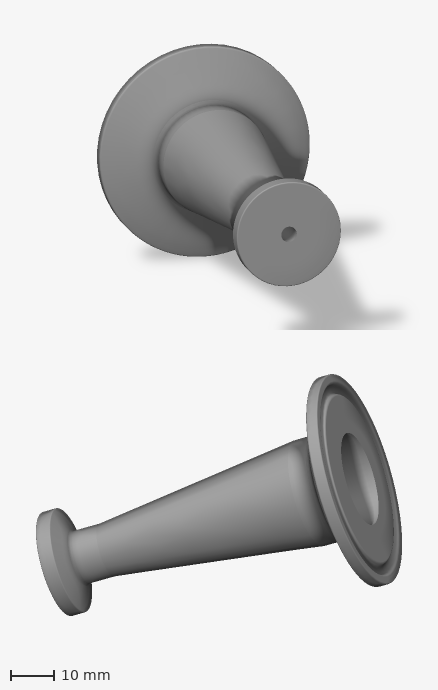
import cadquery as cq
import math


large_tube_diameter = 25.4
large_bore_diameter = 22.1
small_tube_diameter = 12.7
small_bore_diameter = 9.4

large_flange_diameter = 50.39
small_flange_diameter = 24.99
large_rim_thickness = 2.79
small_rim_thickness = 3.6
flange_back_slope = math.tan(math.radians(20))

overall_length = 76.2
ferrule_length = 12.7
cone_start = ferrule_length
cone_end = overall_length - ferrule_length

sleeve_diameter = 12.7
sleeve_inlet_diameter = 9.4
sleeve_outlet_diameter = 3.7
bore_taper = (large_bore_diameter - small_bore_diameter) / (cone_end - cone_start)
sleeve_start = cone_start + (large_bore_diameter - sleeve_diameter) / bore_taper

large_front_fillet = 0.3
large_rear_fillet = 0.5
large_neck_fillet = 1.3
small_front_fillet = 0.3
small_rear_fillet = 0.3
small_neck_fillet = 0.6

groove_center_radius = 21.68
groove_channel_radius = 1.2
groove_lip_radius = 0.55
groove_wall_width = 0.2
groove_wall_angle = math.radians(65)

pick_margin = 0.01


def revolve_about_x(profile):
    return profile.close().revolve(360, (0, 0, 0), (1, 0, 0))


def round_circle(body, x, radius, fillet):
    """Fillet the circular edge of the given radius at the given place on the axis."""
    reach = radius + pick_margin
    low_corner = (x - pick_margin, -reach, -reach)
    high_corner = (x + pick_margin, reach, reach)
    edges = [
        edge for edge in body.edges(cq.selectors.BoxSelector(low_corner, high_corner)).vals()
        if edge.geomType() == "CIRCLE" and abs(edge.radius() - radius) < pick_margin
    ]
    return body.newObject(edges).fillet(fillet)


def make_gasket_groove():
    channel_offset = groove_channel_radius * math.sin(groove_wall_angle)
    wall_offset = channel_offset + groove_wall_width
    half_width = wall_offset + groove_lip_radius * math.sin(groove_wall_angle)
    wall_depth = groove_lip_radius * (1 - math.cos(groove_wall_angle))
    channel_depth = wall_depth + groove_wall_width * math.tan(groove_wall_angle)
    floor_depth = channel_depth + groove_channel_radius * (1 - math.cos(groove_wall_angle))

    lip_offset = half_width - groove_lip_radius * math.sin(groove_wall_angle / 2)
    lip_depth = groove_lip_radius * (1 - math.cos(groove_wall_angle / 2))

    inner_lip_middle = (lip_depth, groove_center_radius - lip_offset)
    outer_lip_middle = (lip_depth, groove_center_radius + lip_offset)
    floor_middle = (floor_depth, groove_center_radius)
    profile = (
        cq.Workplane("XY")
        .moveTo(0, groove_center_radius - half_width)
        .threePointArc(inner_lip_middle, (wall_depth, groove_center_radius - wall_offset))
        .lineTo(channel_depth, groove_center_radius - channel_offset)
        .threePointArc(floor_middle, (channel_depth, groove_center_radius + channel_offset))
        .lineTo(wall_depth, groove_center_radius + wall_offset)
        .threePointArc(outer_lip_middle, (0, groove_center_radius + half_width))
    )
    return revolve_about_x(profile)


def make_housing():
    large_flange_radius = large_flange_diameter / 2
    large_tube_radius = large_tube_diameter / 2
    large_bore_radius = large_bore_diameter / 2
    small_flange_radius = small_flange_diameter / 2
    small_tube_radius = small_tube_diameter / 2
    small_bore_radius = small_bore_diameter / 2

    large_neck = large_rim_thickness + (large_flange_radius - large_tube_radius) * flange_back_slope
    small_rim_start = overall_length - small_rim_thickness
    small_neck = small_rim_start - (small_flange_radius - small_tube_radius) * flange_back_slope

    profile = (
        cq.Workplane("XY")
        .moveTo(0, large_bore_radius)
        .lineTo(0, large_flange_radius)
        .lineTo(large_rim_thickness, large_flange_radius)
        .lineTo(large_neck, large_tube_radius)
        .lineTo(cone_start, large_tube_radius)
        .lineTo(cone_end, small_tube_radius)
        .lineTo(small_neck, small_tube_radius)
        .lineTo(small_rim_start, small_flange_radius)
        .lineTo(overall_length, small_flange_radius)
        .lineTo(overall_length, small_bore_radius)
        .lineTo(cone_end, small_bore_radius)
        .lineTo(cone_start, large_bore_radius)
    )
    body = revolve_about_x(profile)

    body = round_circle(body, 0, large_flange_radius, large_front_fillet)
    body = round_circle(body, large_rim_thickness, large_flange_radius, large_rear_fillet)
    body = round_circle(body, large_neck, large_tube_radius, large_neck_fillet)
    body = round_circle(body, small_neck, small_tube_radius, small_neck_fillet)
    body = round_circle(body, small_rim_start, small_flange_radius, small_rear_fillet)
    body = round_circle(body, overall_length, small_flange_radius, small_front_fillet)
    return body.cut(make_gasket_groove())


def make_sleeve():
    profile = (
        cq.Workplane("XY")
        .moveTo(sleeve_start, sleeve_inlet_diameter / 2)
        .lineTo(sleeve_start, sleeve_diameter / 2)
        .lineTo(cone_end, small_bore_diameter / 2)
        .lineTo(overall_length, small_bore_diameter / 2)
        .lineTo(overall_length, sleeve_outlet_diameter / 2)
    )
    return revolve_about_x(profile)


housing = make_housing()
sleeve = make_sleeve()

result = cq.Compound.makeCompound([housing.val(), sleeve.val()])